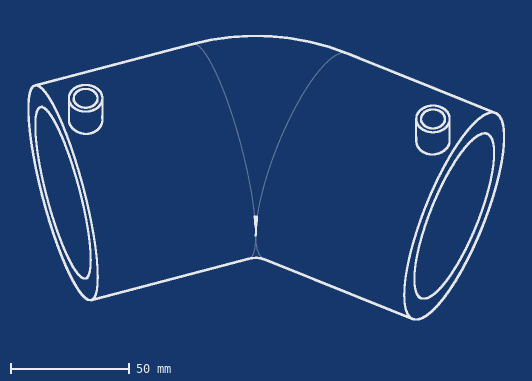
import cadquery as cq

OUTER_DIAMETER = 93.9
BORE_DIAMETER = 74.9
SOCKET_LENGTH = 70.2
BEND_ANGLE = 45

TERMINAL_DIAMETER = 14.2
TERMINAL_HOLE_DIAMETER = 10.0
TERMINAL_HEIGHT = 15.0
TERMINAL_INSET = 10.0

outer_radius = OUTER_DIAMETER / 2
bend_radius = outer_radius
wall = (OUTER_DIAMETER - BORE_DIAMETER) / 2
terminal_top = outer_radius + TERMINAL_HEIGHT
terminal_root = outer_radius - wall / 2


def to_second_leg(leg):
    """Swing a shape from the first leg, along +Y from the origin, onto the second."""
    pivot = (bend_radius, SOCKET_LENGTH, 0)
    pivot_top = (bend_radius, SOCKET_LENGTH, 1)
    return leg.mirror("XZ", (0, SOCKET_LENGTH, 0)).rotate(pivot, pivot_top, -BEND_ANGLE)


def elbow(diameter):
    """Solid elbow of one diameter, following the pipe centreline."""
    socket = cq.Workplane("XZ").circle(diameter / 2).extrude(-SOCKET_LENGTH)
    bend = (
        cq.Workplane("XZ", origin=(0, SOCKET_LENGTH, 0))
        .circle(diameter / 2)
        .revolve(BEND_ANGLE, (bend_radius, 1.9, 0), (bend_radius, 0, 0))
    )
    return socket.union(bend).union(to_second_leg(socket))


def terminal_cylinder(diameter, bottom):
    """Upright cylinder on the first terminal axis, reaching the terminal top."""
    return (
        cq.Workplane("XY", origin=(0, TERMINAL_INSET, bottom))
        .circle(diameter / 2)
        .extrude(terminal_top - bottom)
    )


pipe = elbow(OUTER_DIAMETER).cut(elbow(BORE_DIAMETER))

post = terminal_cylinder(TERMINAL_DIAMETER, terminal_root)
terminal = post.cut(terminal_cylinder(TERMINAL_HOLE_DIAMETER, outer_radius))

result = pipe.union(terminal).union(to_second_leg(terminal))